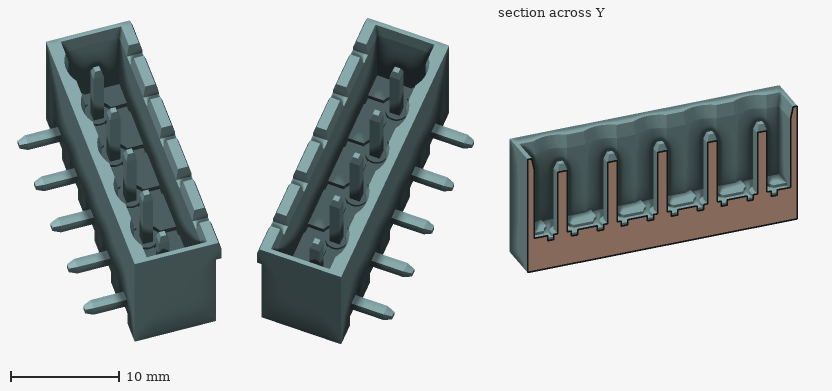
import cadquery as cq


POLES = 5
PITCH = 5.0
PIN_Y = 3.83
PIN_WIDTH = 1.0
PIN_TIP_WIDTH = 0.55
PIN_TIP_LENGTH = 0.75
PIN_TOP = 10.65
LEG_Z = 2.05
LEG_REACH = 3.78

LENGTH = 27.0
DEPTH = 7.9
HEIGHT = 11.93

LATCH_Y = 8.4
LATCH_TOP_Y = 8.13
LATCH_BOTTOM = 9.45
LATCH_BEVEL_BOTTOM = 11.05

FLOOR = 3.5
FLARE_HEIGHT = 1.27
FLARE_WIDTH = 0.27
CAVITY_END_WALL = 0.7
CAVITY_FRONT = 1.57
CAVITY_REAR = 6.88
SCALLOP_RADIUS = 2.75

RING_RADIUS = 1.57
BOSS_RADIUS = 1.03
TROUGH_WIDTH = 0.92
FRONT_GROOVE_WIDTH = 1.8
GROOVE_DEPTH = 0.27
REAR_GROOVE_DEPTH = 0.55

POCKET_WIDTH = 2.55
POCKET_HEIGHT = 3.35
POCKET_DEPTH = 0.3
POCKET_TOP_SLOPE = 0.27
UNDERCUT_HEIGHT = 0.25
UNDERCUT_DEPTH = 1.0

OVERCUT = 0.27
FLARE_BOTTOM = HEIGHT - FLARE_HEIGHT
PIN_XS = [LENGTH / 2 + (i - (POLES - 1) / 2) * PITCH for i in range(POLES)]


def block(x0, x1, y0, y1, z0, z1):
    """Axis-aligned box between opposite corners."""
    return cq.Workplane("XY").box(x1 - x0, y1 - y0, z1 - z0, centered=False).translate((x0, y0, z0))


def disc(x, radius, z0, z1):
    """Upright cylinder centred on the pin at x."""
    return cq.Workplane("XY", origin=(x, PIN_Y, z0)).circle(radius).extrude(z1 - z0)


def prism_along_x(points, x0, x1):
    """Extrude a closed (y, z) outline from x0 to x1."""
    return cq.Workplane("YZ", origin=(x0, 0, 0)).polyline(points).close().extrude(x1 - x0)


def shroud():
    outline = [
        (0, 0),
        (DEPTH, 0),
        (DEPTH, LATCH_BOTTOM),
        (LATCH_Y, LATCH_BOTTOM),
        (LATCH_Y, LATCH_BEVEL_BOTTOM),
        (LATCH_TOP_Y, HEIGHT),
        (0, HEIGHT),
    ]
    return prism_along_x(outline, 0, LENGTH)


def cavity_box(z0, z1):
    return block(CAVITY_END_WALL, LENGTH - CAVITY_END_WALL, CAVITY_FRONT, CAVITY_REAR, z0, z1)


def cavity_flare():
    width = LENGTH - 2 * CAVITY_END_WALL
    depth = CAVITY_REAR - CAVITY_FRONT
    center = (LENGTH / 2, (CAVITY_FRONT + CAVITY_REAR) / 2, FLARE_BOTTOM)
    return (
        cq.Workplane("XY", origin=center)
        .rect(width, depth)
        .workplane(offset=FLARE_HEIGHT)
        .rect(width + 2 * FLARE_WIDTH, depth + 2 * FLARE_WIDTH)
        .loft(ruled=True)
    )


def scallop(x):
    """Round relief in the front wall, concentric with the pin and flared at the rim."""
    flare = cq.Solid.makeCone(
        SCALLOP_RADIUS,
        SCALLOP_RADIUS + FLARE_WIDTH,
        FLARE_HEIGHT,
        pnt=cq.Vector(x, PIN_Y, FLARE_BOTTOM),
    )
    solid = disc(x, SCALLOP_RADIUS, FLOOR, FLARE_BOTTOM).union(flare)
    front_half = block(x - LENGTH, x + LENGTH, 0, PIN_Y, FLOOR, HEIGHT)
    return solid.intersect(front_half)


def latch_slot(x):
    """Tapered notch through the latch rail behind each pin."""
    half_bottom = PIN_WIDTH / 2
    half_top = half_bottom + FLARE_WIDTH
    outline = [
        (x - half_bottom, FLARE_BOTTOM),
        (x + half_bottom, FLARE_BOTTOM),
        (x + half_top, HEIGHT),
        (x - half_top, HEIGHT),
    ]
    rear = LATCH_Y + OVERCUT
    return cq.Workplane("XZ", origin=(0, rear, 0)).polyline(outline).close().extrude(rear - PIN_Y)


def floor_trough():
    """Shallow trough joining the pins along the whole cavity."""
    half = TROUGH_WIDTH / 2
    return block(
        CAVITY_END_WALL, LENGTH - CAVITY_END_WALL, PIN_Y - half, PIN_Y + half, FLOOR - GROOVE_DEPTH, FLOOR
    )


def floor_grooves(x):
    """Ring around the pin with a wide front groove and a deeper, narrow rear groove."""
    split_y = PIN_Y + TROUGH_WIDTH / 2
    half_front = FRONT_GROOVE_WIDTH / 2
    half_rear = PIN_WIDTH / 2
    front_z = FLOOR - GROOVE_DEPTH
    rear_z = FLOOR - REAR_GROOVE_DEPTH
    reach = LENGTH / 2

    front_wall = PIN_Y - SCALLOP_RADIUS
    front = disc(x, RING_RADIUS, front_z, FLOOR).intersect(
        block(x - reach, x + reach, 0, split_y, front_z, FLOOR)
    )
    front = front.union(
        block(x - half_front, x + half_front, front_wall, PIN_Y, front_z, FLOOR).intersect(
            disc(x, SCALLOP_RADIUS, front_z, FLOOR)
        )
    )
    rear = disc(x, RING_RADIUS, rear_z, FLOOR).intersect(
        block(x - reach, x + reach, split_y, CAVITY_REAR, rear_z, FLOOR)
    )
    rear = rear.union(block(x - half_rear, x + half_rear, split_y, CAVITY_REAR, rear_z, FLOOR))
    return front.union(rear)


def pin_boss(x):
    return disc(x, BOSS_RADIUS, FLOOR - REAR_GROOVE_DEPTH, FLOOR)


def leg_pocket(x):
    """Shallow front pocket with a sloped top and an undercut beneath the base."""
    outline = [
        (0, 0),
        (UNDERCUT_DEPTH, 0),
        (UNDERCUT_DEPTH, UNDERCUT_HEIGHT),
        (POCKET_DEPTH, UNDERCUT_HEIGHT),
        (POCKET_DEPTH, POCKET_HEIGHT - POCKET_TOP_SLOPE),
        (0, POCKET_HEIGHT),
    ]
    return prism_along_x(outline, x - POCKET_WIDTH / 2, x + POCKET_WIDTH / 2)


def square_bar(start_plane, length):
    """Square bar with a pyramidal tip; length includes the tip."""
    shank = length - PIN_TIP_LENGTH
    bar = start_plane.rect(PIN_WIDTH, PIN_WIDTH).extrude(shank)
    tip = (
        start_plane.workplane(offset=shank)
        .rect(PIN_WIDTH, PIN_WIDTH)
        .workplane(offset=PIN_TIP_LENGTH)
        .rect(PIN_TIP_WIDTH, PIN_TIP_WIDTH)
        .loft(ruled=True)
    )
    return bar.union(tip)


def bent_pin(x):
    """Contact rising into the cavity and a solder leg leaving through the front."""
    contact_bottom = LEG_Z - PIN_WIDTH / 2
    leg_rear = PIN_Y + PIN_WIDTH / 2
    contact = square_bar(cq.Workplane("XY", origin=(x, PIN_Y, contact_bottom)), PIN_TOP - contact_bottom)
    leg = square_bar(cq.Workplane("XZ", origin=(x, leg_rear, LEG_Z)), leg_rear + LEG_REACH)
    return contact.union(leg)


result = shroud().cut(cavity_box(FLOOR, FLARE_BOTTOM)).cut(cavity_flare()).cut(floor_trough())
for pin_x in PIN_XS:
    for cutter in (scallop, latch_slot, floor_grooves, leg_pocket):
        result = result.cut(cutter(pin_x))
for pin_x in PIN_XS:
    result = result.union(pin_boss(pin_x)).union(bent_pin(pin_x))